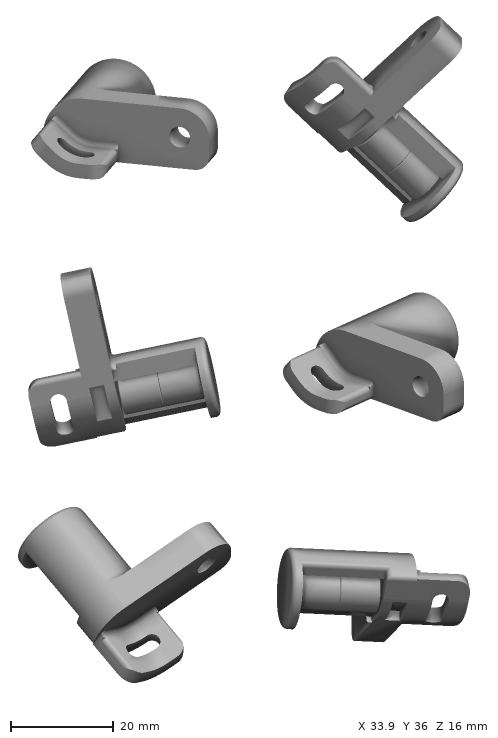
import cadquery as cq
import math


barrel_radius = 8.0
flange_thickness = 2.0
edge_radius = 1.0
barrel_back = 25.0

arm_thickness = 6.0
arm_end = 25.92
arm_bottom = -4.55
arm_top_corner = 6.0
arm_bottom_corner = 3.0
arm_hole_diameter = 4.3
arm_hole_x = 19.87
arm_hole_z = 1.98

tongue_length = 11.0
tongue_thickness = 3.0
tongue_right = 7.4
tongue_left_reach = 6.8
tongue_corner = 3.0
bend_angle = 41.0
bend_radius = 10.0
bend_x = 2.4
bend_z = arm_bottom + bend_radius
inner_radius = bend_radius - tongue_thickness
slot_width = 3.28
slot_y = -5.47

notch_start = 1.0
notch_width = 3.0
notch_top = -2.55
notch_end = 4.0

cradle_offset = 2.0
cradle_bottom = -3.15
bore_radius = 5.0
rib_radius = 0.7
rib_angle = -23.6
rib_center_radius = 4.68

magnet_diameter = 8.0
magnet_length = 8.0
magnet_count = 2
magnet_chamfer = 0.15

cradle_back = barrel_back - flange_thickness
magnet_start = (arm_thickness + cradle_back - magnet_count * magnet_length) / 2
far = 2 * arm_end

slope = math.radians(bend_angle)
up_slope = (-math.cos(slope), math.sin(slope))
out_of_slope = (-math.sin(slope), -math.cos(slope))


def section(y):
    """XZ sketch plane at y; a negative extrusion runs towards +Y."""
    return cq.Workplane("XZ", origin=(0, y, 0))


def bend_point(radius, angle):
    """Point on an arc of the bend; the angle is measured from straight down."""
    turn = math.radians(angle)
    return (bend_x - radius * math.sin(turn), bend_z - radius * math.cos(turn))


def slope_point(radius, reach):
    """Point on the sloping line tangent to a bend arc, at a distance up the slope."""
    height = bend_x * out_of_slope[0] + bend_z * out_of_slope[1] + radius
    return tuple(height * n + reach * u for n, u in zip(out_of_slope, up_slope))


def below_profile(radius, y, length):
    """Everything under the bent profile formed by the given bend radius."""
    level = bend_z - radius
    return (
        section(y)
        .moveTo(far, level)
        .lineTo(bend_x, level)
        .threePointArc(bend_point(radius, bend_angle / 2), bend_point(radius, bend_angle))
        .lineTo(*slope_point(radius, 2 * barrel_radius))
        .lineTo(-far, -far)
        .lineTo(far, -far)
        .close()
        .extrude(-length)
    )


def make_cradle_cut():
    """Space under the barrel: a slope parallel to the tongue, then a level floor."""
    radius = bend_radius - cradle_offset
    opening = below_profile(radius, arm_thickness, cradle_back - arm_thickness)
    wall = cq.Workplane("XY").box(far, far, -cradle_bottom, centered=False).translate((0, 0, cradle_bottom))
    return opening.cut(wall)


def make_barrel():
    barrel = section(0).circle(barrel_radius).extrude(-barrel_back)
    return barrel.faces(">Y").edges().fillet(edge_radius)


def make_arm():
    arm = (
        section(0)
        .moveTo(0, barrel_radius)
        .lineTo(arm_end, barrel_radius)
        .lineTo(arm_end, arm_bottom)
        .lineTo(0, arm_bottom)
        .close()
        .extrude(-arm_thickness)
    )
    arm = arm.edges("|Y and >X and >Z").fillet(arm_top_corner)
    return arm.edges("|Y and >X and <Z").fillet(arm_bottom_corner)


def make_arm_flare():
    """Concave round between the back of the arm and the barrel."""
    outer = barrel_radius + edge_radius
    back = arm_thickness + edge_radius
    middle = edge_radius * (1 - math.sqrt(0.5))
    ring = (
        cq.Workplane("XY")
        .moveTo(barrel_radius, arm_thickness)
        .lineTo(outer, arm_thickness)
        .threePointArc((barrel_radius + middle, arm_thickness + middle), (barrel_radius, back))
        .close()
        .revolve(360, (0, 0, 0), (0, 1, 0))
    )
    height = barrel_radius - arm_bottom
    limits = cq.Workplane("XY").box(outer, back, height, centered=False).translate((0, 0, arm_bottom))
    return ring.intersect(limits)


def make_bore():
    """Round-topped channel that opens square to the sloping underside."""
    length = cradle_back - arm_thickness
    bore = section(arm_thickness).circle(bore_radius).extrude(-length)
    channel = section(arm_thickness).center(0, -far / 2).rect(2 * bore_radius, far).extrude(-length)
    return bore.union(channel.rotate((0, 0, 0), (0, 1, 0), bend_angle))


def make_rib():
    """Small round rib along the bore wall, beside the magnets."""
    turn = math.radians(rib_angle)
    center = (rib_center_radius * math.cos(turn), rib_center_radius * math.sin(turn))
    return section(arm_thickness).center(*center).circle(rib_radius).extrude(arm_thickness - cradle_back)


def bent_strip(top_radius, y, length):
    """Bent bar with square corners, between the outer bend and the given inner bend radius."""
    top = bend_z - top_radius
    return (
        section(y)
        .moveTo(tongue_right, arm_bottom)
        .lineTo(bend_x, arm_bottom)
        .threePointArc(bend_point(bend_radius, bend_angle / 2), bend_point(bend_radius, bend_angle))
        .lineTo(*slope_point(bend_radius, tongue_left_reach))
        .lineTo(*slope_point(top_radius, tongue_left_reach))
        .lineTo(*bend_point(top_radius, bend_angle))
        .threePointArc(bend_point(top_radius, bend_angle / 2), (bend_x, top))
        .lineTo(tongue_right, top)
        .close()
        .extrude(-length)
    )


def rounded_strip(top_radius, y, length):
    """Bent bar with its right-hand corners and its upper left corner rounded."""
    strip = bent_strip(top_radius, y, length).edges("|Y and >X").fillet(edge_radius)
    left_x, left_z = slope_point(top_radius, tongue_left_reach)
    upper_left = cq.selectors.NearestToPointSelector((left_x, y + length / 2, left_z))
    return strip.edges(upper_left).fillet(edge_radius)


def level_plane(x, y):
    """Plane on the level part of the tongue, its first axis pointing right."""
    return cq.Plane((x, y, arm_bottom), (1, 0, 0), (0, 0, 1))


def sloping_plane(reach, y):
    """Plane on the sloping part of the tongue, its first axis pointing up the slope."""
    x, z = slope_point(bend_radius, reach)
    return cq.Plane((x, y, z), (up_slope[0], 0, up_slope[1]), (out_of_slope[0], 0, out_of_slope[1]))


def corner_cut(plane):
    """Waste outside a rounded front corner whose sharp corner is the plane origin."""
    middle = tongue_corner * (1 - math.sqrt(0.5))
    return (
        cq.Workplane(plane)
        .lineTo(0, tongue_corner)
        .threePointArc((-middle, middle), (-tongue_corner, 0))
        .close()
        .extrude(2 * tongue_thickness, both=True)
    )


def make_tongue():
    tongue = rounded_strip(inner_radius, -tongue_length, tongue_length)
    tongue = tongue.cut(corner_cut(level_plane(tongue_right, -tongue_length)))
    return tongue.cut(corner_cut(sloping_plane(tongue_left_reach, -tongue_length)))


def make_root_flare():
    """Concave round between the top of the tongue and the front of the arm."""
    step = bent_strip(inner_radius, -2 * edge_radius, 2 * edge_radius)
    step = step.union(bent_strip(inner_radius - 2 * edge_radius, 0, edge_radius))
    root = step.edges(cq.selectors.NearestToPointSelector((tongue_right / 2, 0, bend_z - inner_radius)))
    return root.fillet(edge_radius).intersect(
        rounded_strip(inner_radius - edge_radius, -edge_radius, edge_radius)
    )


def make_slot():
    """Slot along the bend, with each round end square to its part of the tongue."""
    bend_reach = bend_x * up_slope[0] + bend_z * up_slope[1]
    middle = (
        section(slot_y - slot_width / 2)
        .moveTo(bend_x, bend_z)
        .lineTo(bend_x, -barrel_radius)
        .lineTo(*slope_point(bend_radius + tongue_thickness, bend_reach))
        .close()
        .extrude(-slot_width)
    )
    for plane in (level_plane(bend_x, slot_y), sloping_plane(bend_reach, slot_y)):
        end = cq.Workplane(plane).circle(slot_width / 2).extrude(2 * tongue_thickness, both=True)
        middle = middle.union(end)
    return middle


def round_lips(housing):
    """Round the lips where the barrel meets the sloping undersides."""
    lip_search_x = edge_radius * 2 - barrel_radius
    lips = housing.edges(cq.selectors.BoxSelector(
        (-far, 0, 0), (lip_search_x, cradle_back - edge_radius, barrel_radius / 2)
    ))
    return lips.fillet(edge_radius)


def make_notch():
    """Blind pocket in the underside of the arm."""
    notch_length = barrel_radius + notch_end
    return (
        cq.Workplane("XY")
        .box(notch_length, notch_width, barrel_radius, centered=False)
        .translate((-barrel_radius, notch_start, notch_top - barrel_radius))
    )


def make_housing():
    housing = make_barrel().union(make_arm())
    housing = housing.cut(below_profile(bend_radius, 0, arm_thickness))
    housing = housing.cut(make_cradle_cut())
    housing = round_lips(housing)
    housing = housing.union(make_arm_flare())
    housing = housing.cut(make_bore()).union(make_rib())
    housing = housing.cut(make_notch())
    hole = section(0).center(arm_hole_x, arm_hole_z).circle(arm_hole_diameter / 2).extrude(-arm_thickness)
    housing = housing.cut(hole).union(make_tongue())
    return housing.union(make_root_flare()).cut(make_slot())


def make_magnet(index):
    """One of the equal cylindrical magnets lying end to end in the bore."""
    start = magnet_start + index * magnet_length
    magnet = section(start).circle(magnet_diameter / 2).extrude(-magnet_length)
    return magnet.faces("<Y or >Y").edges().chamfer(magnet_chamfer)


housing = make_housing()
magnets = [make_magnet(index) for index in range(magnet_count)]
result = cq.Compound.makeCompound([housing.val(), *[magnet.val() for magnet in magnets]])